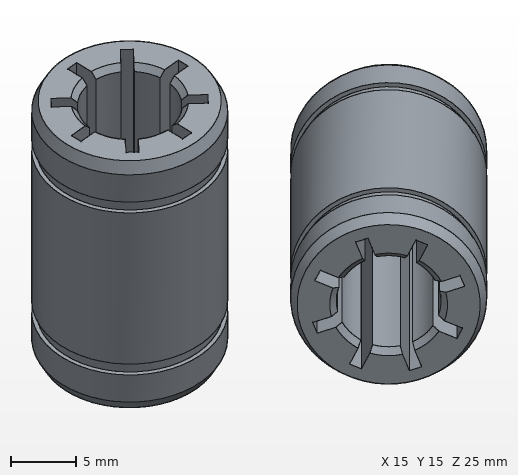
import cadquery as cq

length = 25.0
outer_diameter = 15.0
bore_diameter = 8.0

outer_chamfer_height = 1.0
outer_chamfer_depth = 0.5
bore_chamfer = 0.5

groove_diameter = 14.3
groove_width = 1.1
groove_end_distance = 3.75

slot_count = 8
slot_width = 1.0
slot_reach = 6.0

outer_radius = outer_diameter / 2
bore_radius = bore_diameter / 2
half_length = length / 2


def sleeve():
    """Revolved tube with chamfered outer and bore edges at both ends."""
    profile = [
        (bore_radius, -half_length + bore_chamfer),
        (bore_radius + bore_chamfer, -half_length),
        (outer_radius - outer_chamfer_depth, -half_length),
        (outer_radius, -half_length + outer_chamfer_height),
        (outer_radius, half_length - outer_chamfer_height),
        (outer_radius - outer_chamfer_depth, half_length),
        (bore_radius + bore_chamfer, half_length),
        (bore_radius, half_length - bore_chamfer),
    ]
    return cq.Workplane("XZ").polyline(profile).close().revolve(360, (0, 0), (0, 1))


def groove(center_z):
    """Ring of material removed for one retaining-ring groove."""
    return (
        cq.Workplane("XY", origin=(0, 0, center_z - groove_width / 2))
        .circle(outer_diameter)
        .circle(groove_diameter / 2)
        .extrude(groove_width)
    )


def slot_pair(angle):
    """Bar through the axis that cuts two opposite slots."""
    bar = cq.Workplane("XY").box(2 * slot_reach, slot_width, length)
    return bar.rotate((0, 0, 0), (0, 0, 1), angle)


result = sleeve()

groove_center = half_length - groove_end_distance - groove_width / 2
for center_z in (-groove_center, groove_center):
    result = result.cut(groove(center_z))

for index in range(slot_count // 2):
    result = result.cut(slot_pair(index * 360 / slot_count))